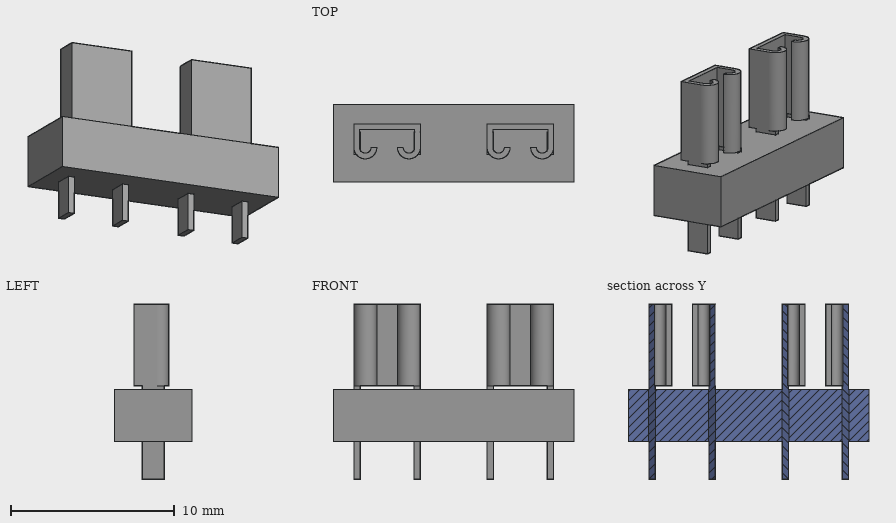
import cadquery as cq

block_length = 14.7
block_depth = 4.75
block_height = 3.19

clip_pitch = 8.13
clip_width = 4.07
clip_height = 5.0
clip_back_y = 1.18
wall = 0.35
hook_center_y = -0.25
hook_inner_radius = 0.35
hook_outer_radius = hook_inner_radius + wall

leg_width = 0.4
leg_depth = 1.37
leg_below_block = 2.31
clip_gap = 0.2

block_bottom = leg_below_block
block_top = block_bottom + block_height
clip_bottom = block_top + clip_gap

clip_centers = [-clip_pitch / 2, clip_pitch / 2]
leg_offset = (clip_width - leg_width) / 2


def make_legs(center_x, bottom, top):
    """Pair of flat legs flush with the outer sides of the clip."""
    return (
        cq.Workplane("XY", origin=(center_x, 0, bottom))
        .pushPoints([(-leg_offset, 0), (leg_offset, 0)])
        .rect(leg_width, leg_depth)
        .extrude(top - bottom)
    )


def make_channel(center_x):
    """Channel open to the front, with both side walls curled inward."""
    outer_x = clip_width / 2
    inner_x = outer_x - wall
    hook_x = outer_x - hook_outer_radius
    lip_outer_x = hook_x - hook_outer_radius
    lip_inner_x = hook_x - hook_inner_radius
    outer_crest_y = hook_center_y - hook_outer_radius
    inner_crest_y = hook_center_y - hook_inner_radius
    return (
        cq.Workplane("XY", origin=(center_x, 0, clip_bottom))
        .moveTo(-outer_x, clip_back_y)
        .lineTo(outer_x, clip_back_y)
        .lineTo(outer_x, hook_center_y)
        .threePointArc((hook_x, outer_crest_y), (lip_outer_x, hook_center_y))
        .lineTo(lip_inner_x, hook_center_y)
        .threePointArc((hook_x, inner_crest_y), (inner_x, hook_center_y))
        .lineTo(inner_x, clip_back_y - wall)
        .lineTo(-inner_x, clip_back_y - wall)
        .lineTo(-inner_x, hook_center_y)
        .threePointArc((-hook_x, inner_crest_y), (-lip_inner_x, hook_center_y))
        .lineTo(-lip_outer_x, hook_center_y)
        .threePointArc((-hook_x, outer_crest_y), (-outer_x, hook_center_y))
        .close()
        .extrude(clip_height)
    )


def make_clip(center_x):
    """One terminal: the channel joined to its two legs."""
    return make_channel(center_x).union(make_legs(center_x, 0, clip_bottom))


def make_housing():
    """Plain block with a through slot for every leg."""
    housing = (
        cq.Workplane("XY", origin=(0, 0, block_bottom))
        .rect(block_length, block_depth)
        .extrude(block_height)
    )
    for center_x in clip_centers:
        housing = housing.cut(make_legs(center_x, block_bottom, block_top))
    return housing


housing = make_housing()
clips = [make_clip(center_x) for center_x in clip_centers]

bodies = [housing, *clips]
result = cq.Compound.makeCompound([body.solids().val() for body in bodies])